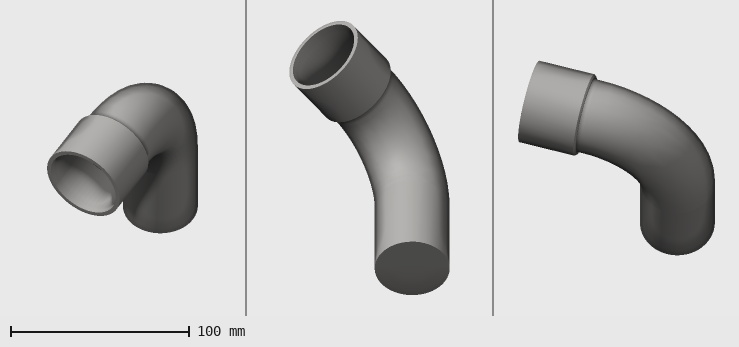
import cadquery as cq

pipe_diameter = 42.0
bend_radius = 50.0
vertical_leg = 49.0
neck_length = 3.0

socket_diameter = 47.0
socket_length = 33.0
socket_floor = 3.0
socket_chamfer = 1.0
bore_diameter = pipe_diameter
bore_depth = socket_length - socket_floor

axis_height = vertical_leg + bend_radius
neck_start_y = -bend_radius
socket_back_y = neck_start_y - neck_length
socket_mouth_y = socket_back_y - socket_length


def cylinder_along_y(diameter, start_y, length):
    """Cylinder on the horizontal axis, running from start_y towards -Y."""
    return (
        cq.Workplane("XZ", origin=(0, start_y, axis_height))
        .circle(diameter / 2)
        .extrude(length)
    )


def make_vertical_leg():
    return cq.Workplane("XY").circle(pipe_diameter / 2).extrude(vertical_leg)


def make_bend():
    """Quarter torus from the top of the vertical leg to the start of the neck."""
    return (
        cq.Workplane("XY", origin=(0, 0, vertical_leg))
        .circle(pipe_diameter / 2)
        .revolve(90, (0, -bend_radius, 0), (1, -bend_radius, 0))
    )


def make_socket():
    """Cup open towards -Y, with its back outer edge bevelled."""
    body = cylinder_along_y(socket_diameter, socket_back_y, socket_length)
    body = body.faces(">Y").edges().chamfer(socket_chamfer)
    bore = cylinder_along_y(bore_diameter, socket_mouth_y + bore_depth, bore_depth)
    return body.cut(bore)


neck = cylinder_along_y(pipe_diameter, neck_start_y, neck_length)
result = make_vertical_leg().union(make_bend()).union(neck).union(make_socket())